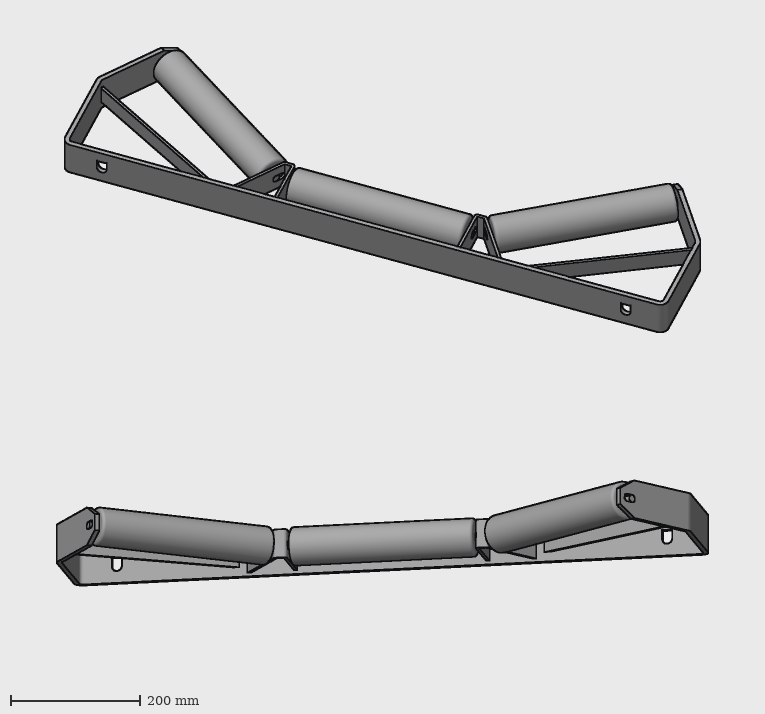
import cadquery as cq
import math

frame_length = 1000.0
frame_depth = 275.0
band_width = 60.0
frame_thickness = 8.0
bracket_thickness = 5.0
trough_angle = 35.0

corner_radius = 14.0
bend_radius = 16.0
upright_height = 153.0

tip_chamfer_length = 30.0
tip_chamfer_width = 17.0

mount_offset = 434.0
mount_width = 16.0
mount_height = 22.0

roller_diameter = 60.0
roller_length = 290.0
roller_edge_radius = 5.0
roller_gap = 4.0
shaft_diameter = 12.0
shaft_slot_length = 22.0
center_roller_height = 70.0
roller_drop = 2.0
side_roller_setback = 25.0

bracket_height = 94.0
bracket_width = 45.0
bracket_bend_radius = 5.0

strut_thickness = 5.0
strut_width = 30.0
strut_angle = 30.0

cut_margin = 1.0
edge_reach = 0.1

half_length = frame_length / 2
half_span = roller_length / 2 + roller_gap
tilt = math.radians(trough_angle)
axis_x, axis_y = math.cos(tilt), -math.sin(tilt)
arm_x, arm_y = math.sin(tilt), math.cos(tilt)
arm_length = (frame_depth - upright_height) / arm_y
tip_x = -half_length + arm_length * arm_x
dip_angle = math.degrees(math.asin(roller_drop / (2 * half_span)))
seat_x = tip_x - side_roller_setback * arm_x + frame_thickness * axis_x
seat_y = frame_depth - side_roller_setback * arm_y + frame_thickness * axis_y
inner_bend_y = upright_height - frame_thickness * math.tan(tilt / 2)


def mirrored(body):
    """Copy of a left-hand body on the right-hand side."""
    return body.mirror("YZ")


def at_side(body):
    """Move a body on a roller's local axes, X along the shaft, to the left roller's place.

    The outer end stays at the middle of the frame band; the inner end dips to the center roller.
    """
    return (
        body.translate((half_span, 0, 0))
        .rotate((0, 0, 0), (0, 1, 0), dip_angle)
        .rotate((0, 0, 0), (0, 0, 1), -trough_angle)
        .translate((seat_x, seat_y, 0))
    )


def at_center(body):
    """Move a body on a roller's local axes to the center roller's place."""
    return body.translate((0, center_roller_height, -roller_drop))


def band(points, width):
    """Upright band with the given plan outline, centred on Z = 0."""
    return cq.Workplane("XY").polyline(points).close().extrude(width / 2, both=True)


def round_bend(body, x, y, radius):
    """Round the vertical edge that stands at x, y."""
    low = (x - edge_reach, y - edge_reach, -band_width)
    high = (x + edge_reach, y + edge_reach, band_width)
    box = cq.selectors.BoxSelector(low, high)
    return body.edges(box).fillet(radius)


def shaft_slot(start, end):
    """Cutter for a shaft slot, open from the shaft seat toward local +Y, between two X positions."""
    return (
        cq.Workplane("YZ", origin=(start, 0, 0))
        .center((shaft_slot_length - shaft_diameter) / 2, 0)
        .slot2D(shaft_slot_length, shaft_diameter)
        .extrude(end - start)
    )


def make_mount_hole(x):
    """Hole through the base with a flat top and a round bottom."""
    radius = mount_width / 2
    top = mount_height / 2
    arc_z = radius - top
    return (
        cq.Workplane("XZ", origin=(x, 0, 0))
        .moveTo(-radius, top)
        .lineTo(-radius, arc_z)
        .threePointArc((0, -top), (radius, arc_z))
        .lineTo(radius, top)
        .close()
        .extrude(-frame_thickness)
    )


def make_tip_cutter(side):
    """Wedge that bevels one corner of the left arm tip; side is +1 or -1 in Z."""
    edge = side * band_width / 2
    wedge = (
        cq.Workplane("YZ")
        .polyline([
            (0, edge - side * tip_chamfer_width),
            (0, edge),
            (-tip_chamfer_length, edge),
        ])
        .close()
        .extrude(frame_thickness)
    )
    return wedge.rotate((0, 0, 0), (0, 0, 1), -trough_angle).translate((tip_x, frame_depth, 0))


def make_frame():
    """Bent band: base, two uprights and two arms with beveled tips."""
    inset = frame_thickness
    left = [
        (-half_length + inset, inset),
        (-half_length + inset, inner_bend_y),
        (tip_x + inset * axis_x, frame_depth + inset * axis_y),
        (tip_x, frame_depth),
        (-half_length, upright_height),
        (-half_length, 0),
    ]
    right = [(-x, y) for x, y in reversed(left)]
    body = band(left + right, band_width)
    slot = at_side(shaft_slot(-half_span - inset - cut_margin, -half_span + cut_margin))
    for side in (-1, 1):
        body = round_bend(body, side * half_length, 0, corner_radius)
        body = round_bend(body, side * (half_length - inset), inset, corner_radius - inset)
        body = round_bend(body, side * half_length, upright_height, bend_radius)
        body = round_bend(body, side * (half_length - inset), inner_bend_y, bend_radius - inset)
        body = body.cut(make_mount_hole(side * mount_offset))
        bevel = make_tip_cutter(side)
        body = body.cut(bevel).cut(mirrored(bevel))
    return body.cut(slot).cut(mirrored(slot))


def make_bracket():
    """Left bracket: an upright by the center roller and a leg square to the side roller."""
    face_x = seat_x + 2 * half_span * axis_x
    face_y = seat_y + 2 * half_span * axis_y
    lean = arm_x / arm_y

    def leg_x(y, depth):
        """X on the leg at height y, at a depth behind its roller face."""
        return face_x + (y - face_y) * lean + depth / axis_x

    t = bracket_thickness
    under = bracket_height - t
    foot = frame_thickness
    points = [
        (leg_x(foot, 0), foot),
        (leg_x(bracket_height, 0), bracket_height),
        (-half_span, bracket_height),
        (-half_span, foot),
        (-half_span - t, foot),
        (-half_span - t, under),
        (leg_x(under, t), under),
        (leg_x(foot, t), foot),
    ]
    body = band(points, bracket_width).translate((0, 0, -roller_drop))
    body = round_bend(body, *points[1], bracket_bend_radius)
    body = round_bend(body, *points[2], bracket_bend_radius)
    side_slot = at_side(shaft_slot(half_span - cut_margin, half_span + t + cut_margin))
    center_slot = at_center(shaft_slot(-half_span - t, -half_span))
    return body.cut(side_slot).cut(center_slot)


def make_strut(frame):
    """Left brace from the inside of the arm bend down to the base, trimmed by the frame."""
    wall_x = -half_length + frame_thickness
    overrun = frame_thickness / 2
    run = (inner_bend_y - frame_thickness) / math.sin(math.radians(strut_angle))
    bar = (
        cq.Workplane("XY")
        .box(run + 2 * overrun, strut_thickness, strut_width, centered=(False, True, True))
        .translate((-overrun, 0, 0))
        .rotate((0, 0, 0), (0, 0, 1), -strut_angle)
        .translate((wall_x, inner_bend_y, 0))
    )
    return bar.cut(frame)


def make_roller(outer_support, inner_support):
    """Roller along X with shaft ends that fill the slots of its two supports."""
    barrel = (
        cq.Workplane("YZ", origin=(-roller_length / 2, 0, 0))
        .circle(roller_diameter / 2)
        .extrude(roller_length)
        .edges()
        .fillet(roller_edge_radius)
    )
    start = -half_span - outer_support
    end = half_span + inner_support
    shaft = cq.Workplane("YZ", origin=(start, 0, 0)).circle(shaft_diameter / 2).extrude(end - start)
    return barrel.union(shaft)


frame = make_frame()
left_bracket = make_bracket()
left_strut = make_strut(frame)
left_roller = at_side(make_roller(frame_thickness, bracket_thickness))
center_roller = at_center(make_roller(bracket_thickness, bracket_thickness))

bodies = [frame.solids().val(), center_roller.solids().val()]
for left_body in (left_bracket, left_strut, left_roller):
    bodies.append(left_body.solids().val())
    bodies.append(mirrored(left_body).solids().val())

result = cq.Compound.makeCompound(bodies)